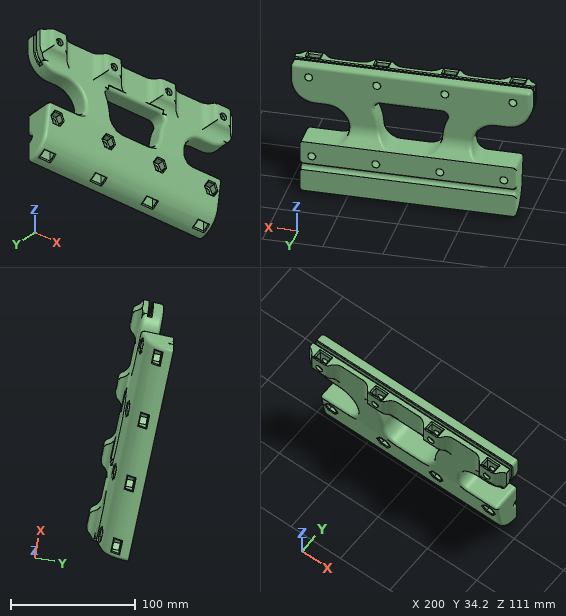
import cadquery as cq
import math

width = 200.0
height = 111.0
body_thick = 17.0
edge_round = 3.0
rim_chamfer = 0.8
mouth_chamfer = 1.2

foot_width = 180.0
foot_depth = 27.0
foot_top = 46.0
foot_lean = math.radians(9.0)
foot_span = foot_depth * math.cos(foot_lean) - foot_top * math.sin(foot_lean)
belly_radius = foot_span / (1 - math.sin(foot_lean))
back_blend = 14.0
back_round = 1.2
slope_angle = math.radians(45)

leg_round_x = 70.5
leg_round_z = 57.0
side_opening_radius = 19.0
leg_width = 25.8
leg_middle = leg_round_x - side_opening_radius - leg_width / 2
foot_corner_radius = 9.0
window_top = 83.5
window_half_width = 25.5
window_top_radius = 5.0
window_bottom_radius = 14.0

jaw_bottom = leg_round_z + side_opening_radius
jaw_corner_radius = 20.0
slot_front = 5.0
slot_back = 7.2
slot_floor = 86.2
slot_end_x = 93.5

boss_pitch = 56.5
boss_height = 7.2
boss_flat = 5.0
boss_flat_bottom = 96.0
boss_tip_radius = 5.0
boss_base_radius = 10.0

screw_count = 4
foot_screw_pitch = 53.2
screw_diameter = 6.5
nut_width = 10.5
nut_slot_thick = 6.0
nut_inset = 10.5
boss_nut_y = -1.8
foot_nut_y = 15.2
foot_screw_z = 33.5
foot_nut_seat = 8.0

groove_radius = 3.0
groove_z = 23.0
groove_flare = 3.0

clearance = 2.0
tolerance = 0.02
pick_margin = 0.2


def row(pitch):
    """X positions of one row of screws, centred on the part."""
    return [(i - (screw_count - 1) / 2) * pitch for i in range(screw_count)]


def box(x0, x1, y0, y1, z0, z1):
    """Box between two opposite corners."""
    return cq.Workplane("XY").box(x1 - x0, y1 - y0, z1 - z0, centered=False).translate((x0, y0, z0))


def rod(x, z, radius, y0, y1):
    """Cylinder along Y."""
    return cq.Workplane("XZ", origin=(x, y0, z)).circle(radius).extrude(y0 - y1)


def side_profile():
    """Plate and untapered foot, swept along the full width."""
    half_turn = slope_angle / 2
    tangent = back_blend * math.tan(half_turn)
    diagonal = tangent * math.cos(slope_angle)
    slope_top = foot_top + foot_depth - body_thick
    arc_start = (body_thick + diagonal, slope_top - diagonal)
    arc_end = (body_thick, slope_top + tangent)
    arc_mid = (
        body_thick + back_blend * (1 - math.cos(half_turn)),
        slope_top + tangent - back_blend * math.sin(half_turn),
    )
    return (
        cq.Workplane("YZ", origin=(-width / 2, 0, 0))
        .lineTo(foot_depth, 0)
        .lineTo(foot_depth, foot_top)
        .lineTo(*arc_start)
        .threePointArc(arc_mid, arc_end)
        .lineTo(body_thick, height)
        .lineTo(0, height)
        .close()
        .extrude(width)
    )


def foot_envelope():
    """Tapered foot with a round underside, carried up past the foot's top."""
    top = foot_top + back_blend
    middle = foot_lean + (math.pi / 2 - foot_lean) / 2

    def belly(angle):
        return (foot_depth - belly_radius * math.cos(angle), belly_radius - belly_radius * math.sin(angle))

    foot = (
        cq.Workplane("YZ", origin=(-foot_width / 2, 0, 0))
        .moveTo((foot_top - top) * math.tan(foot_lean), top)
        .lineTo(*belly(foot_lean))
        .threePointArc(belly(middle), belly(math.pi / 2))
        .lineTo(foot_depth, top)
        .close()
        .extrude(foot_width)
    )
    foot = foot.faces("<X or >X").edges("not(>Z or >Y)").fillet(edge_round)
    foot = foot.faces(">Y").edges("|Z").fillet(back_round)
    return foot.union(box(-width, width, -width, width, top, height + clearance))


def side_opening(side):
    """Opening between jaw and foot, beside the leg; side is -1 or 1."""
    x = side * leg_round_x
    inner, outer = sorted((x, side * width))
    y0, y1 = -foot_depth, 2 * foot_depth
    hollow = rod(x, leg_round_z, side_opening_radius, y0, y1)
    hollow = hollow.union(box(inner, outer, y0, y1, foot_top, jaw_bottom))
    hollow = hollow.cut(box(-width, width, y0, y1, 0, foot_top))
    corner = cq.selectors.BoxSelector(
        (side * leg_middle, -width, foot_top - pick_margin),
        (side * leg_round_x, width, foot_top + pick_margin),
    )
    return hollow.edges("|Y").edges(corner).fillet(foot_corner_radius)


def window():
    """Opening between the legs, with sides concentric to the leg outsides."""
    half = leg_round_x / 2
    hollow = box(-half, half, -foot_depth, 2 * foot_depth, foot_top, window_top)
    for side in (-1, 1):
        hollow = hollow.cut(
            rod(side * leg_round_x, leg_round_z, side_opening_radius + leg_width, -width, width)
        )
    hollow = hollow.edges("|Y").edges(">Z").fillet(window_top_radius)
    return hollow.edges("|Y").edges("<Z").fillet(window_bottom_radius)


def jaw_outline(y0, y1):
    """Jaw block with its round lower corners."""
    block = box(-width / 2, width / 2, y0, y1, jaw_bottom, height)
    return block.edges("|Y").edges("<Z").fillet(jaw_corner_radius)


def front_rim(edge):
    """True for edges around the openings and jaw on the front face, except the top edge."""
    limits = edge.BoundingBox()
    above_foot = limits.zmax > foot_top - pick_margin
    below_top = limits.zmin < height - pick_margin
    return limits.ymax < tolerance and above_foot and below_top


def back_rim(edge):
    """True for edges around the openings and jaw on the back, above the foot's top."""
    limits = edge.BoundingBox()
    across_leg = abs(abs(edge.Center().x) - leg_middle) < edge_round
    through = limits.ymin < slot_back
    above_foot = limits.zmax > foot_top + pick_margin
    return above_foot and not (across_leg or through)


def plate():
    """Jaws, legs and foot with their rounded edges, before the slot is cut."""
    middle = (slot_front + slot_back) / 2
    back_jaw = jaw_outline(middle, width)
    back_jaw = back_jaw.edges("|Y").edges(">Z").fillet(edge_round)
    keep = jaw_outline(-width, middle).union(back_jaw)
    keep = keep.union(box(-foot_width / 2, foot_width / 2, -width, width, 0, jaw_bottom))
    solid = side_profile().intersect(keep)
    for side in (-1, 1):
        solid = solid.cut(side_opening(side))
    solid = solid.cut(window())
    foot_corners = cq.selectors.BoxSelector(
        (-width, -width, foot_top - pick_margin), (width, width, foot_top + pick_margin)
    )
    solid = solid.edges("|Y").edges(foot_corners).edges("<X or >X").fillet(edge_round)
    solid = solid.edges().filter(front_rim).fillet(edge_round)
    solid = solid.edges().filter(back_rim).fillet(edge_round)
    return solid.intersect(foot_envelope())


def slot():
    """Slot between the jaws, deeper at both ends."""
    top = height + clearance
    cut = box(-width, width, slot_front, slot_back, slot_floor, top)
    for x0, x1 in ((-width, -slot_end_x), (slot_end_x, width)):
        cut = cut.union(box(x0, x1, slot_front, slot_back, jaw_bottom + edge_round, top))
    return cut


def slot_rim(edge):
    """True for the outline edges of both jaws where they face the slot."""
    limits = edge.BoundingBox()

    def lies_at(y):
        return abs(limits.ymin - y) < tolerance and abs(limits.ymax - y) < tolerance

    at_top = limits.zmax > height - pick_margin
    at_end = max(limits.xmax, -limits.xmin) > width / 2 - pick_margin
    return (lies_at(slot_front) or lies_at(slot_back)) and (at_top or at_end)


def half_ridge(flat, length):
    """Half of a ridge along Z: flat tip from X = 0, then an S-curve down to the plate face."""
    radii = boss_tip_radius + boss_base_radius
    turn = math.acos(1 - boss_height / radii)
    reach = flat + radii * math.sin(turn)

    def tip_point(angle):
        return (
            flat + boss_tip_radius * math.sin(angle),
            -boss_height + boss_tip_radius * (1 - math.cos(angle)),
        )

    def base_point(angle):
        return (reach - boss_base_radius * math.sin(angle), -boss_base_radius * (1 - math.cos(angle)))

    return (
        cq.Workplane("XY")
        .moveTo(0, edge_round)
        .lineTo(0, -boss_height)
        .lineTo(flat, -boss_height)
        .threePointArc(tip_point(turn / 2), tip_point(turn))
        .threePointArc(base_point(turn / 2), base_point(0))
        .lineTo(reach, edge_round)
        .close()
        .extrude(length)
    )


def boss(x):
    """Boss from the top edge down, its S-curve flanks mitred at the lower corners."""
    half = half_ridge(boss_flat, height)
    across = half.union(half.mirror("YZ")).translate((x, 0, 0))
    down = half_ridge(height - boss_flat_bottom, 2 * width).translate((0, 0, -width))
    down = down.rotate((0, 0, 0), (0, 1, 0), 90).translate((0, 0, height))
    return across.intersect(down)


def bosses():
    """Outer bosses run out to the jaw outline, inner ones stop at the window's rounded rim."""
    places = row(boss_pitch)
    outer = boss(places[0]).union(boss(places[-1]))
    inner = boss(places[1]).union(boss(places[2]))
    rim = window_half_width + edge_round
    inner = inner.cut(box(-rim, rim, -width, width, 0, window_top + edge_round))
    return outer.intersect(jaw_outline(-boss_height, slot_front)).union(inner)


def nut(x, y0, y1, z, corner_angle):
    """Hexagonal prism along Y; a corner angle of 0 points a corner along X."""
    prism = cq.Workplane("XZ", origin=(0, y0, 0)).polygon(6, nut_width / math.cos(math.pi / 6))
    prism = prism.extrude(y0 - y1)
    return prism.rotate((0, 0, 0), (0, 1, 0), corner_angle).translate((x, 0, z))


def nut_slot(x, middle_y, mouth_z, inward):
    """Slot for a hexagonal nut slid in along Z from mouth_z; inward is -1 (down) or 1 (up)."""
    y0 = middle_y - nut_slot_thick / 2
    y1 = middle_y + nut_slot_thick / 2
    nut_z = mouth_z + inward * nut_inset
    z0, z1 = sorted((mouth_z - inward * clearance, nut_z))
    throat = box(x - nut_width / 2, x + nut_width / 2, y0, y1, z0, z1)
    return throat.union(nut(x, y0, y1, nut_z, 30))


def boss_nut_mouth(x):
    """Bevel around the top of a jaw nut slot."""
    mouth = cq.Workplane("XY", origin=(x, boss_nut_y, height))
    mouth = mouth.rect(nut_width + 2 * mouth_chamfer, nut_slot_thick + 2 * mouth_chamfer)
    return mouth.extrude(-mouth_chamfer, taper=45)


def boss_screws():
    """Screw holes through both jaws, with nut slots open at the top."""
    cut = cq.Workplane("XY")
    for x in row(boss_pitch):
        cut = cut.add(rod(x, height - nut_inset, screw_diameter / 2, -width, width))
        cut = cut.add(nut_slot(x, boss_nut_y, height, -1))
        cut = cut.add(boss_nut_mouth(x))
    return cut.combine()


def foot_screws():
    """Screw holes with hexagonal front pockets, and nut slots open at the underside."""
    cut = cq.Workplane("XY")
    for x in row(foot_screw_pitch):
        cut = cut.add(rod(x, foot_screw_z, screw_diameter / 2, -width, width))
        cut = cut.add(nut(x, -width, foot_nut_seat, foot_screw_z, 0))
        cut = cut.add(nut_slot(x, foot_nut_y, 0, 1))
    return cut.combine()


def foot_nut_rim(edge):
    """True for the mouth edges of the foot's nut pockets, front and underside."""
    limits = edge.BoundingBox()
    ends = (edge.startPoint(), edge.endPoint())

    def on_front(point):
        return abs(point.y - (foot_top - point.z) * math.tan(foot_lean)) < tolerance

    def on_belly(point):
        from_axis = math.hypot(point.y - foot_depth, point.z - belly_radius)
        return abs(from_axis - belly_radius) < tolerance

    small = limits.xmax - limits.xmin < nut_width + pick_margin
    inside = abs(edge.Center().x) < foot_width / 2 - edge_round
    near_screw = limits.zmin > foot_screw_z - nut_width and limits.zmax < foot_screw_z + nut_width
    front = near_screw and all(on_front(point) for point in ends)
    underside = limits.zmax < nut_inset and all(on_belly(point) for point in ends)
    return small and inside and (front or underside) and edge.Length() > rim_chamfer


def groove():
    """Half-round groove along the foot's back, flaring out at both ends."""
    end = foot_width / 2
    half = (
        cq.Workplane("XY", origin=(0, foot_depth, groove_z))
        .lineTo(0, groove_radius)
        .lineTo(end - groove_flare, groove_radius)
        .radiusArc((end, groove_radius + groove_flare), -groove_flare)
        .lineTo(end, 0)
        .close()
        .revolve(360, (0, 0, 0), (1, 0, 0))
    )
    return half.union(half.mirror("YZ"))


result = plate().cut(slot())
result = result.edges().filter(slot_rim).chamfer(rim_chamfer)
result = result.union(bosses()).cut(boss_screws()).cut(foot_screws())
result = result.edges().filter(foot_nut_rim).chamfer(rim_chamfer)
result = result.cut(groove())